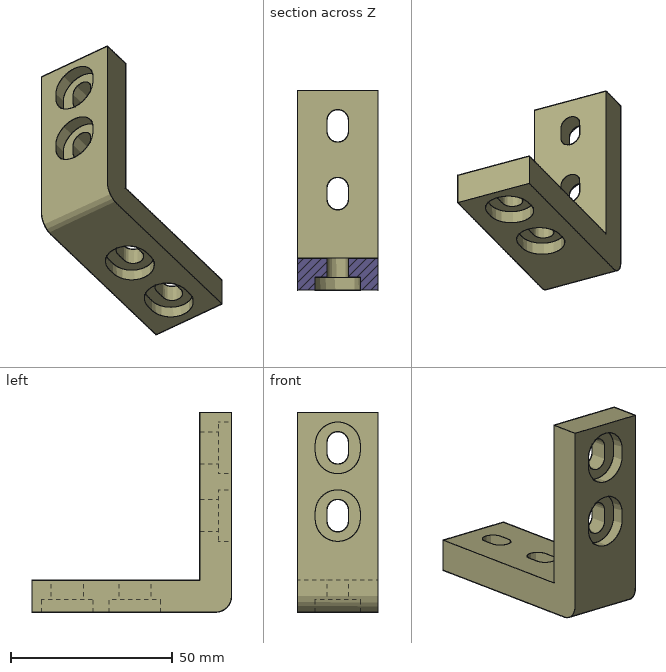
import cadquery as cq

leg_length = 62.0
width = 25.0
thickness = 10.0
heel_radius = 5.0

slot_length = 10.0
slot_width = 6.6
recess_length = 16.0
recess_width = 14.0
recess_depth = 4.0
end_to_first_slot = 11.0
slot_spacing = 21.0

slot_positions = [leg_length - end_to_first_slot - i * slot_spacing for i in range(2)]


def make_body():
    """L-shaped bracket with a rounded outer heel along X."""
    base = cq.Workplane("XY").box(width, leg_length, thickness, centered=(True, False, False))
    upright = cq.Workplane("XY").box(width, thickness, leg_length, centered=(True, False, False))
    heel_edge = cq.selectors.NearestToPointSelector((0, 0, 0))
    return base.union(upright, clean=True).edges(heel_edge).fillet(heel_radius)


def base_slot_cutter(position):
    """Through slot with a recess in the underside of the base, elongated along Y."""
    plane = cq.Workplane("XY").center(0, position)
    slot = plane.slot2D(slot_length, slot_width, angle=90).extrude(thickness)
    recess = plane.slot2D(recess_length, recess_width, angle=90).extrude(recess_depth)
    return slot.union(recess)


def upright_slot_cutter(position):
    """The base cutter mirrored across the bracket's 45-degree plane by swapping Y and Z."""
    cutter = base_slot_cutter(position)
    return cutter.rotate((0, 0, 0), (1, 0, 0), 90).mirror("XZ")


result = make_body()
for slot_position in slot_positions:
    result = result.cut(base_slot_cutter(slot_position))
    result = result.cut(upright_slot_cutter(slot_position))